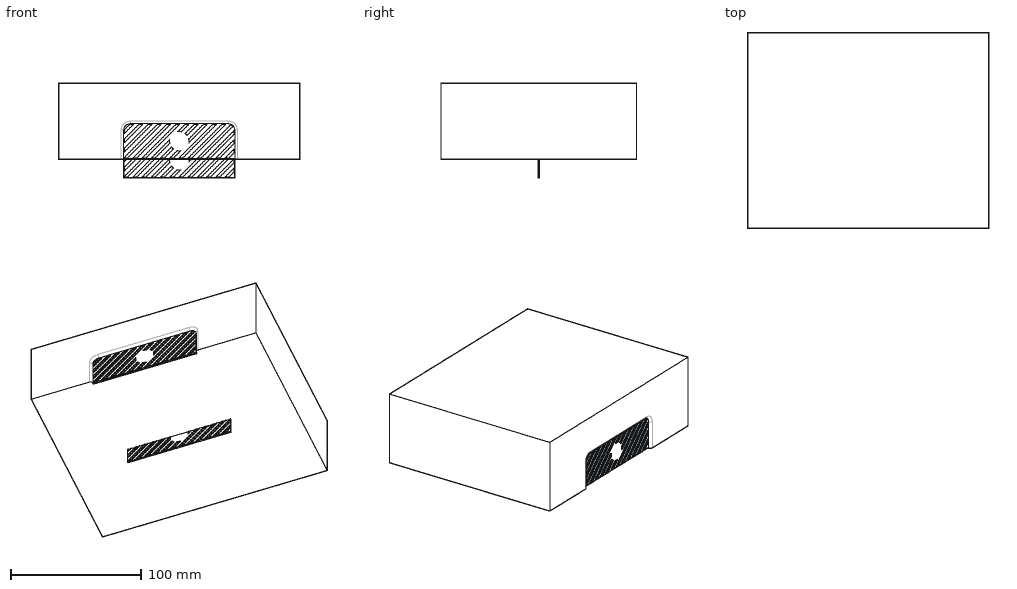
import cadquery as cq
import math

BLOCK_LENGTH = 185.0
BLOCK_WIDTH = 150.0
BLOCK_HEIGHT = 58.5

NOTCH_WIDTH = 85.1
NOTCH_HEIGHT = 27.4
CORNER_RADIUS = 5.0
RIM_RADIUS = 2.0

PANEL_THICKNESS = 1.1
PANEL_BOTTOM_GAP = 0.5
HANGING_DEPTH = 14.0

GROOVE_WIDTH = 2.0
GROOVE_PITCH = 5.0
GROOVE_DEPTH = 0.5
GROOVE_ANGLE = 45.0
BORDER = 0.5
PLAIN_DISC_RADIUS = 7.4

PANEL_WIDTH = NOTCH_WIDTH
PANEL_HEIGHT = NOTCH_HEIGHT - PANEL_BOTTOM_GAP
FRONT_FACE_Y = -BLOCK_WIDTH / 2
NOTCH_PANEL_FRONT_Y = FRONT_FACE_Y + RIM_RADIUS
HANGING_PANEL_FRONT_Y = -PANEL_THICKNESS / 2


def arched_plate(width, height, thickness, corner_radius):
    """Upright plate with rounded top corners: front face on Y = 0, bottom edge on Z = 0."""
    plate = cq.Workplane("XY").box(width, thickness, height, centered=(True, False, False))
    return plate.edges("|Y and >Z").fillet(corner_radius)


def diagonal_bars():
    """Parallel bars, the middle one through the origin, long enough to cross a whole panel."""
    reach = math.hypot(PANEL_WIDTH, PANEL_HEIGHT)
    count_each_side = math.ceil(reach / 2 / GROOVE_PITCH)
    bar = cq.Workplane("XY").box(reach, GROOVE_DEPTH, GROOVE_WIDTH, centered=(True, False, True))
    bars = cq.Workplane("XY")
    for index in range(-count_each_side, count_each_side + 1):
        bars = bars.add(bar.translate((0, 0, index * GROOVE_PITCH)))
    return bars.combine().rotate((0, 0, 0), (0, 1, 0), -GROOVE_ANGLE)


def panel_grooves():
    """Diagonal bars trimmed to the area inside the border and outside the plain disc."""
    inner_width = PANEL_WIDTH - 2 * BORDER
    inner_height = PANEL_HEIGHT - 2 * BORDER
    grooved_area = arched_plate(inner_width, inner_height, GROOVE_DEPTH, CORNER_RADIUS - BORDER)
    plain_disc = cq.Workplane("XZ").circle(PLAIN_DISC_RADIUS).extrude(-GROOVE_DEPTH)
    bars = diagonal_bars().cut(plain_disc).translate((0, 0, PANEL_HEIGHT / 2))
    return bars.intersect(grooved_area.translate((0, 0, BORDER)))


def panel_blank():
    """Panel without its grooves."""
    return arched_plate(PANEL_WIDTH, PANEL_HEIGHT, PANEL_THICKNESS, CORNER_RADIUS)


def make_panel(front_y, bottom_z):
    """Grooved panel with its front face on front_y and its bottom edge on bottom_z."""
    return panel_blank().cut(panel_grooves()).translate((0, front_y, bottom_z))


def round_notch_rim(body):
    """Round the front edges of the notch, leaving the outer edges of the front face sharp."""
    margin = RIM_RADIUS
    notch_region = cq.selectors.BoxSelector(
        (-NOTCH_WIDTH / 2 - margin, FRONT_FACE_Y - margin, 0),
        (NOTCH_WIDTH / 2 + margin, FRONT_FACE_Y + margin, NOTCH_HEIGHT + margin),
    )
    return body.faces("<Y").edges(notch_region).fillet(RIM_RADIUS)


def make_block():
    """Block with the rounded notch in front and a slot for the hanging panel below."""
    body = cq.Workplane("XY").box(
        BLOCK_LENGTH, BLOCK_WIDTH, BLOCK_HEIGHT, centered=(True, True, False)
    )
    notch_depth = RIM_RADIUS + PANEL_THICKNESS
    notch = arched_plate(NOTCH_WIDTH, NOTCH_HEIGHT, notch_depth, CORNER_RADIUS)
    body = round_notch_rim(body.cut(notch.translate((0, FRONT_FACE_Y, 0))))
    slot = panel_blank().translate((0, HANGING_PANEL_FRONT_Y, -HANGING_DEPTH))
    return body.cut(slot)


block = make_block()

panel_places = [
    (NOTCH_PANEL_FRONT_Y, PANEL_BOTTOM_GAP),
    (HANGING_PANEL_FRONT_Y, -HANGING_DEPTH),
]
panels = [make_panel(front_y, bottom_z) for front_y, bottom_z in panel_places]

result = cq.Compound.makeCompound([block.solids().val(), *[panel.solids().val() for panel in panels]])